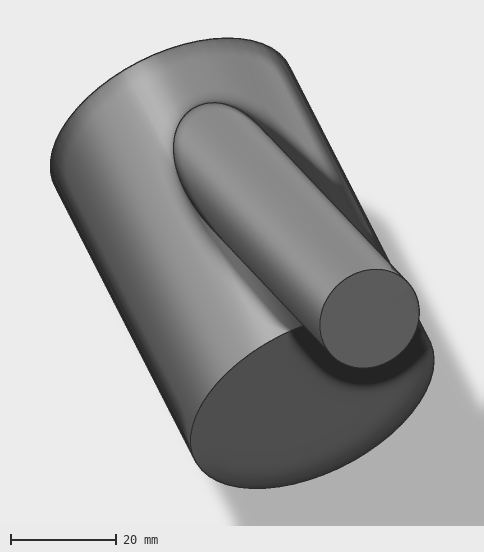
import cadquery as cq
import math

body_diameter = 50.0
body_length = 70.0

handle_diameter = 20.0
handle_length = 100.0
handle_angle = 30.0
handle_root_x = 12.0
handle_root_z = 12.0


def make_body():
    return cq.Workplane("YZ").circle(body_diameter / 2).extrude(body_length)


def make_handle():
    slope = math.radians(handle_angle)
    root_plane = cq.Plane(
        origin=(handle_root_x, 0, handle_root_z),
        xDir=(0, 1, 0),
        normal=(math.cos(slope), 0, math.sin(slope)),
    )
    return cq.Workplane(root_plane).circle(handle_diameter / 2).extrude(handle_length)


result = make_body().union(make_handle())